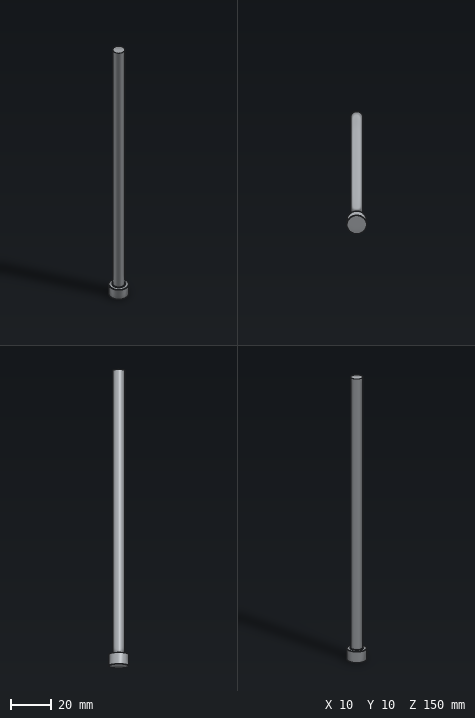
import cadquery as cq

total_length = 150.0
head_diameter = 10.0
head_height = 6.0
shank_diameter = 6.0
rim_chamfer = 0.2
neck_bevel = 0.3

head_radius = head_diameter / 2
shank_radius = shank_diameter / 2


def make_half_profile():
    """Closed half section of the pin, from the axis outward, head resting on Z = 0."""
    return (
        cq.Workplane("XZ")
        .moveTo(0, 0)
        .lineTo(head_radius - rim_chamfer, 0)
        .lineTo(head_radius, rim_chamfer)
        .lineTo(head_radius, head_height - rim_chamfer)
        .lineTo(head_radius - rim_chamfer, head_height)
        .lineTo(shank_radius + neck_bevel, head_height)
        .lineTo(shank_radius, head_height + neck_bevel)
        .lineTo(shank_radius, total_length)
        .lineTo(0, total_length)
        .close()
    )


result = make_half_profile().revolve(360, (0, 0), (0, 1))